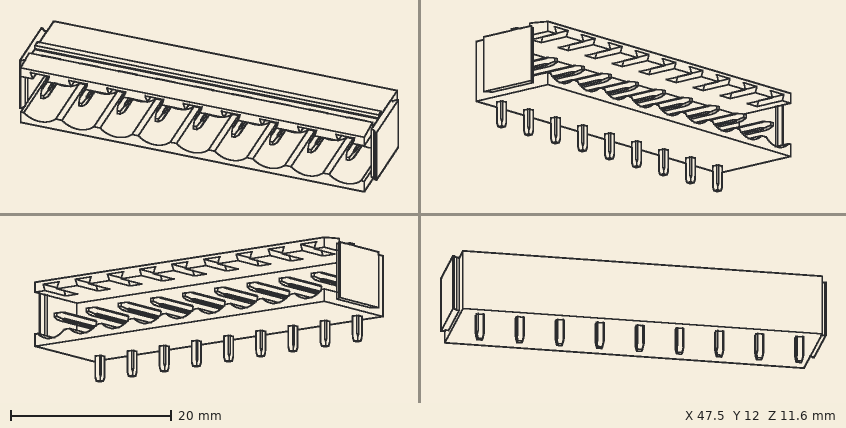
import cadquery as cq
import math

pin_count = 9
pitch = 5.08

housing_length = pin_count * pitch
housing_depth = 12.0
housing_height = 7.75
back_y = housing_depth / 2
front_y = -housing_depth / 2
end_x = housing_length / 2

floor_top = 1.58
roof_underside = 6.9
back_wall = 3.4
cavity_back_y = back_y - back_wall

land_width = 0.84
trough_bottom = 0.72

rib_back_y = back_y - 5.9
rib_width = 0.9
rib_height = 0.55
rib_ramp = 0.08
lip_back_y = back_y - 8.92
lip_flat = 0.32
lip_height = 0.74
lip_front_height = 0.43

notch_top_width = 2.47
notch_bottom_width = 1.85
notch_back_y = back_y - 7.79

end_wall_thickness = 0.88
dovetail_back_y = back_y - 2.05
dovetail_front_y = back_y - 9.95
dovetail_bottom = 0.7
dovetail_top = housing_height + 0.05
dovetail_undercut = 0.45
dovetail_edge = 0.15
dovetail_neck = 0.34

pin_size = 1.0
pin_chamfer = 0.17
pin_inset = 2.0
contact_z = 3.85
contact_reach = 11.1
contact_taper_length = 1.3
contact_tip_size = 0.42
tail_length = 3.14
tail_taper_length = 0.86
tail_tip_size = 0.62

pin_y = back_y - pin_inset
pin_xs = [(i - (pin_count - 1) / 2) * pitch for i in range(pin_count)]


def make_shell():
    """C-shaped channel along the row, with the rib and the sloped lip on its roof."""
    rib_front_y = rib_back_y - rib_width
    rib_top = housing_height + rib_height
    lip_top = housing_height + lip_height
    return (
        cq.Workplane("YZ")
        .workplane(offset=-end_x)
        .moveTo(front_y, 0)
        .lineTo(back_y, 0)
        .lineTo(back_y, housing_height)
        .lineTo(rib_back_y, housing_height)
        .lineTo(rib_back_y, rib_top)
        .lineTo(rib_front_y, rib_top)
        .lineTo(rib_front_y, housing_height + rib_ramp)
        .lineTo(rib_front_y - rib_ramp, housing_height)
        .lineTo(lip_back_y, housing_height)
        .lineTo(lip_back_y, lip_top)
        .lineTo(lip_back_y - lip_flat, lip_top)
        .lineTo(front_y, housing_height + lip_front_height)
        .lineTo(front_y, roof_underside)
        .lineTo(cavity_back_y, roof_underside)
        .lineTo(cavity_back_y, floor_top)
        .lineTo(front_y, floor_top)
        .close()
        .extrude(housing_length)
    )


def make_trough(x):
    """Cutter for the rounded floor trough below one contact."""
    half_width = (pitch - land_width) / 2
    return (
        cq.Workplane("XZ", origin=(x, cavity_back_y, 0))
        .moveTo(-half_width, floor_top)
        .threePointArc((0, trough_bottom), (half_width, floor_top))
        .close()
        .extrude(cavity_back_y - front_y)
    )


def make_notch(x):
    """Cutter for the dovetail notch in the roof above one contact."""
    half_top = notch_top_width / 2
    half_bottom = notch_bottom_width / 2
    return (
        cq.Workplane("XZ", origin=(x, notch_back_y, 0))
        .moveTo(-half_bottom, roof_underside)
        .lineTo(half_bottom, roof_underside)
        .lineTo(half_top, housing_height)
        .lineTo(-half_top, housing_height)
        .close()
        .extrude(notch_back_y - front_y)
    )


def make_end_wall(side):
    """Dovetail wall on the end at side = -1 (-X) or +1 (+X)."""
    neck_x = side * (end_x + dovetail_neck)
    edge_x = side * (end_x + end_wall_thickness - dovetail_edge)
    outer_x = side * (end_x + end_wall_thickness)
    neck_back_y = dovetail_back_y - dovetail_undercut
    neck_front_y = dovetail_front_y + dovetail_undercut
    return (
        cq.Workplane("XY", origin=(0, 0, dovetail_bottom))
        .moveTo(side * end_x, neck_back_y)
        .lineTo(neck_x, neck_back_y)
        .lineTo(edge_x, dovetail_back_y)
        .lineTo(outer_x, dovetail_back_y)
        .lineTo(outer_x, dovetail_front_y)
        .lineTo(edge_x, dovetail_front_y)
        .lineTo(neck_x, neck_front_y)
        .lineTo(side * end_x, neck_front_y)
        .close()
        .extrude(dovetail_top - dovetail_bottom)
    )


def make_bar(start, direction, length, taper_length, tip_size):
    """Square bar with chamfered long edges, ending in a four-sided tapered tip."""
    straight_length = length - taper_length
    taper_angle = math.degrees(math.atan2((pin_size - tip_size) / 2, taper_length))
    base_plane = cq.Plane(start, (1, 0, 0), direction)
    tip_start = cq.Vector(*start) + cq.Vector(*direction) * straight_length
    tip_plane = cq.Plane(tip_start, (1, 0, 0), direction)
    shaft = cq.Workplane(base_plane).rect(pin_size, pin_size).extrude(straight_length)
    tip = (
        cq.Workplane(tip_plane)
        .rect(pin_size, pin_size)
        .extrude(taper_length, taper=taper_angle)
    )
    chamfered_envelope = (
        cq.Workplane(base_plane)
        .rect(pin_size, pin_size)
        .extrude(length)
        .edges(cq.selectors.ParallelDirSelector(cq.Vector(*direction)))
        .chamfer(pin_chamfer)
    )
    return shaft.union(tip).intersect(chamfered_envelope)


def make_pin(x):
    """L-shaped pin: solder tail down, contact forward into the cavity."""
    half = pin_size / 2
    tail_top = contact_z + half
    contact_back = pin_inset - half
    tail = make_bar(
        (x, pin_y, tail_top),
        (0, 0, -1),
        tail_top + tail_length,
        tail_taper_length,
        tail_tip_size,
    )
    contact = make_bar(
        (x, back_y - contact_back, contact_z),
        (0, -1, 0),
        contact_reach - contact_back,
        contact_taper_length,
        contact_tip_size,
    )
    return contact.union(tail)


pins = [make_pin(x) for x in pin_xs]

housing = make_shell()
for side in (-1, 1):
    housing = housing.union(make_end_wall(side))
for x, pin in zip(pin_xs, pins):
    housing = housing.cut(make_trough(x)).cut(make_notch(x)).cut(pin)

result = cq.Compound.makeCompound([housing.val(), *[pin.val() for pin in pins]])